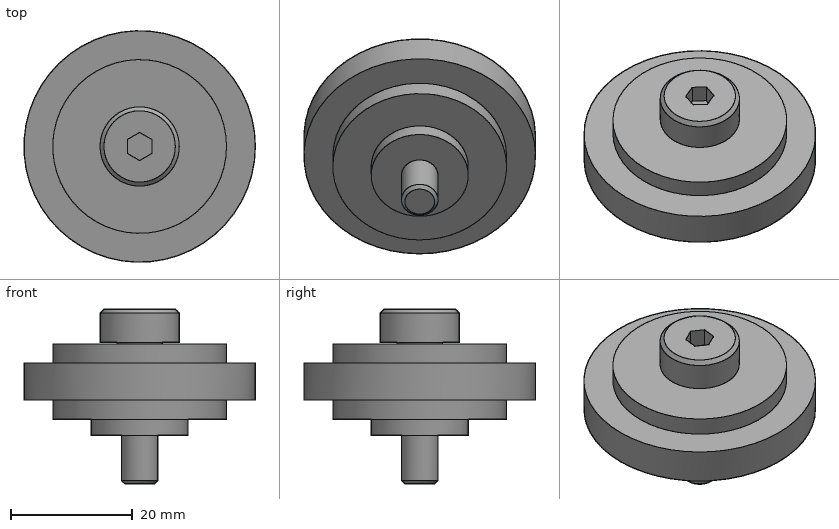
import cadquery as cq
import math

TYRE_DIAMETER = 38.1
TYRE_WIDTH = 6.1
CORE_DIAMETER = 28.58
CORE_WIDTH = 12.42
SPACER_DIAMETER = 15.95
SPACER_THICKNESS = 2.63

HEAD_DIAMETER = 13.03
HEAD_HEIGHT = 5.5
HEAD_CHAMFER = 0.65
SOCKET_ACROSS_FLATS = 4.0
SOCKET_DEPTH = 3.25
NECK_DIAMETER = 7.5
NECK_HEIGHT = 0.23
SHOULDER_DIAMETER = 8.0
SHANK_DIAMETER = 6.02
SHANK_PROJECTION = 8.0
SHANK_CHAMFER = 0.57

CORE_TOP = CORE_WIDTH / 2
CORE_BOTTOM = -CORE_TOP
SPACER_BOTTOM = CORE_BOTTOM - SPACER_THICKNESS
SHANK_BOTTOM = SPACER_BOTTOM - SHANK_PROJECTION
HEAD_BOTTOM = CORE_TOP + NECK_HEIGHT
HEAD_TOP = HEAD_BOTTOM + HEAD_HEIGHT


def cylinder(diameter, bottom, top):
    """Solid cylinder on the Z axis between two levels."""
    return cq.Workplane("XY").workplane(offset=bottom).circle(diameter / 2).extrude(top - bottom)


def ring(outer_diameter, bore_diameter, bottom, top):
    """Cylinder with a through bore of the given diameter."""
    return cylinder(outer_diameter, bottom, top).cut(cylinder(bore_diameter, bottom, top))


def make_tyre():
    return ring(TYRE_DIAMETER, CORE_DIAMETER, -TYRE_WIDTH / 2, TYRE_WIDTH / 2)


def make_core():
    return ring(CORE_DIAMETER, SHOULDER_DIAMETER, CORE_BOTTOM, CORE_TOP)


def make_spacer():
    return ring(SPACER_DIAMETER, SHANK_DIAMETER, SPACER_BOTTOM, CORE_BOTTOM)


def make_socket():
    """Hexagonal cutter with two corners on the Y axis."""
    across_corners = SOCKET_ACROSS_FLATS / math.cos(math.pi / 6)
    hexagon = cq.Workplane("XY").workplane(offset=HEAD_TOP - SOCKET_DEPTH).polygon(6, across_corners)
    return hexagon.extrude(SOCKET_DEPTH).rotate((0, 0, 0), (0, 0, 1), 90)


def make_screw():
    head = cylinder(HEAD_DIAMETER, HEAD_BOTTOM, HEAD_TOP).faces(">Z").chamfer(HEAD_CHAMFER)
    neck = cylinder(NECK_DIAMETER, CORE_TOP, HEAD_BOTTOM)
    shoulder = cylinder(SHOULDER_DIAMETER, CORE_BOTTOM, CORE_TOP)
    shank = cylinder(SHANK_DIAMETER, SHANK_BOTTOM, CORE_BOTTOM).faces("<Z").chamfer(SHANK_CHAMFER)
    return head.union(neck).union(shoulder).union(shank).cut(make_socket())


tyre = make_tyre()
core = make_core()
spacer = make_spacer()
screw = make_screw()

result = cq.Compound.makeCompound([tyre.val(), core.val(), spacer.val(), screw.val()])